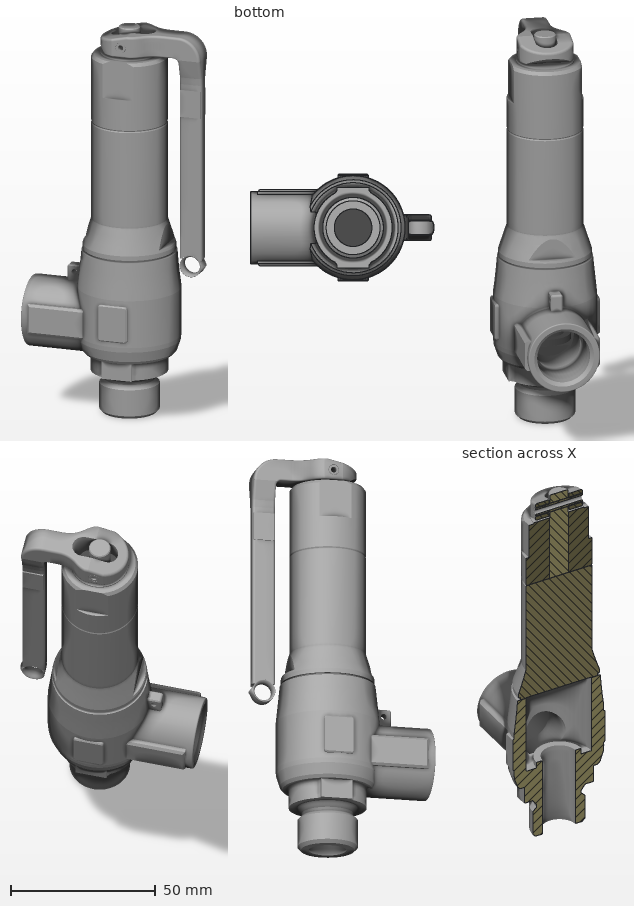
import cadquery as cq
import math


CUT_REACH = 60.0
MARGIN = 1.0
NEAR = 0.09

THREAD_R = 20.955 / 2
THREAD_MINOR_R = 18.63 / 2
THREAD_LEAD = THREAD_R - THREAD_MINOR_R
THREAD_TOP = 10.6
UNDERCUT_R = 9.0
UNDERCUT_TOP = 13.1
COLLAR_R = 13.5
COLLAR_FOOT_R = 10.5
COLLAR_BOTTOM = 15.1
BELLY_BOTTOM = 21.7
BELLY_FILLET = 0.8
BELLY_FOOT_R = 15.6
BELLY_CORNER_R = 16.6
BELLY_CORNER_Z = 22.8
BELLY_R = 18.0
BELLY_MID_Z = 28.3
BELLY_LOW_R = 17.85
BELLY_LOW_Z = 26.6
BELLY_HIGH_Z = 45.3
SHOULDER_R = 16.6
BODY_TOP = 58.6

INLET_BORE_R = 13.0 / 2
SEAT_R = 9.0
SEAT_TOP = 30.6
CAVITY_R = 13.0
CAVITY_FLOOR = BELLY_MID_Z

ARROW_PAD_FACE = 11.0
ARROW_PAD_ROOT = 13.0
ARROW_PAD_Y = 13.85
ARROW_PAD_ROOT_Y = 11.7
ARROW_PAD_EDGE_Y = 13.0

PLATE_WIDTH = 10.6
PLATE_BOTTOM = 30.1
PLATE_TOP = 43.3
PLATE_Y = 18.5
PLATE_CORNER = 1.0
PLATE_BEVEL = 0.45

OUTLET_Z = 33.0
OUTLET_R = 12.55
OUTLET_FACE_X = -35.5
OUTLET_RIM = 0.4
OUTLET_ROOT_FILLET = 0.6
OUTLET_MOUTH_R = 21.0 / 2
OUTLET_THREAD_DEPTH = 14.0
OUTLET_BORE_R = 16.5 / 2
SIDE_PAD_X = -33.0
SIDE_PAD_INNER_X = -12.5
SIDE_PAD_Y = 13.25
SIDE_PAD_BOTTOM = 28.1
SIDE_PAD_TOP = 38.9
SIDE_PAD_BEVEL = 0.8

SEAL_TAB_X = -22.1
SEAL_TAB_WIDTH = 4.0
SEAL_TAB_TOP = 51.3
SEAL_TAB_ROUND = 0.8
SEAL_HOLE_R = 1.0
SEAL_HOLE_X = -19.5
SEAL_HOLE_Z = 48.8

BONNET_NECK_R = 31.0 / 2
BONNET_FLANGE_R = 16.25
BONNET_FLANGE_BOTTOM = 59.4
BONNET_FLANGE_TOP = 61.0
CONE_TOP = 70.2
TUBE_R = 26.5 / 2
WRENCH_FLAT_X = 13.65
WRENCH_FLAT_Z = 61.8
JOINT_Z = 105.2
JOINT_R = 26.0 / 2
JOINT_BEVEL = 0.4

CAP_EDGE_Z = 128.7
CAP_RIM_R = 12.4
CAP_RIM_Z = 129.8
CAP_BOSS_R = 10.1
CAP_TOP = 130.2
CAP_FLAT_Y = 12.0
CAP_FLAT_BOTTOM = 116.5

SPINDLE_R = 7.5 / 2
SPINDLE_TOP = 139.57
SPINDLE_BEVEL = 0.35
PIN_R = 3.5 / 2
PIN_BORE_R = 2.0 / 2
PIN_HOLE_R = 3.7 / 2
PIN_Z = 134.3

HEAD_R = 10.0
HEAD_FLAT_Y = 9.45
NECK_R = 10.0
ARM_HALF = 4.5
LEVER_BOTTOM = 130.8
LEVER_TOP = 138.4
SLOPE_START_X = 2.1
HEAD_TIP_TOP = 135.7
HEAD_TIP_BOTTOM = 133.6
HEAD_UNDERCUT_X = -5.8
ARM_INNER_X = 19.1
ARM_OUTER_X = 27.1
BEND_R = ARM_OUTER_X - ARM_INNER_X
INNER_BEND_R = 1.7
TAPER_TOP = LEVER_TOP - BEND_R
TAPER_END_Z = 123.7
TAPER_END_HALF = 2.6
BAR_HALF = 2.3
BAR_START_Z = 121.2
LEVER_ROUND = 0.9
LEVER_UNDER_ROUND = 0.5
RING_X = 23.05
RING_Z = 55.3
RING_R = 4.95
RING_HOLE_R = 6.0 / 2
SLOT_HALF = 3.9
SLOT_LEFT = -6.4
SLOT_RIGHT_BOTTOM = 7.3
SLOT_RIGHT_TOP = 9.6
TAG_X0 = 19.5
TAG_X1 = 26.8
TAG_BOTTOM = 109.4
TAG_TOP = 119.1
TAG_HALF = 2.75


def box(x0, x1, y0, y1, z0, z1):
    """Axis-aligned block between two corners."""
    return cq.Workplane("XY").box(x1 - x0, y1 - y0, z1 - z0, centered=False).translate((x0, y0, z0))


def rod_z(radius, z0, z1):
    return cq.Workplane("XY").workplane(offset=z0).circle(radius).extrude(z1 - z0)


def rod_y(radius, x, z, half_length):
    """Cylinder along Y, symmetric about the XZ plane."""
    return cq.Workplane("XZ").center(x, z).circle(radius).extrude(half_length, both=True)


def rod_x(radius, x0, x1):
    """Cylinder on the outlet axis."""
    return cq.Workplane("YZ", origin=(x0, 0, OUTLET_Z)).circle(radius).extrude(x1 - x0)


def turned(points):
    """Solid of revolution about Z from (radius, z) points that start and end on the axis."""
    return cq.Workplane("XZ").polyline(points).close().revolve(360, (0, 0, 0), (0, 1, 0))


def both_sides(feature):
    """The feature together with its mirror image across the XZ plane."""
    return feature.union(feature.mirror("XZ"))


def body_shell():
    shell = turned([
        (0, 0),
        (THREAD_MINOR_R, 0),
        (THREAD_R, THREAD_LEAD),
        (THREAD_R, THREAD_TOP),
        (UNDERCUT_R, THREAD_TOP + THREAD_R - UNDERCUT_R),
        (UNDERCUT_R, UNDERCUT_TOP),
        (COLLAR_FOOT_R, COLLAR_BOTTOM),
        (COLLAR_R, COLLAR_BOTTOM),
        (COLLAR_R, BELLY_BOTTOM),
        (BELLY_FOOT_R, BELLY_BOTTOM),
        (BELLY_CORNER_R, BELLY_CORNER_Z),
        (BELLY_LOW_R, BELLY_LOW_Z),
        (BELLY_R, BELLY_MID_Z),
        (BELLY_R, BELLY_HIGH_Z),
        (SHOULDER_R, BODY_TOP),
        (0, BODY_TOP),
    ])
    collar_corner = cq.selectors.BoxSelector(
        (-BELLY_FOOT_R + BELLY_FILLET, -BELLY_FOOT_R + BELLY_FILLET, BELLY_BOTTOM - BELLY_FILLET),
        (BELLY_FOOT_R - BELLY_FILLET, BELLY_FOOT_R - BELLY_FILLET, BELLY_BOTTOM + BELLY_FILLET),
        boundingbox=True,
    )
    return shell.edges(collar_corner).fillet(BELLY_FILLET)


def arrow_pad():
    """Pad on the collar whose sides flare out toward the root."""
    outline = [
        (ARROW_PAD_FACE / 2, -ARROW_PAD_Y),
        (ARROW_PAD_FACE / 2, -ARROW_PAD_EDGE_Y),
        (ARROW_PAD_ROOT / 2, -ARROW_PAD_ROOT_Y),
    ]
    mirrored = [(-x, y) for x, y in reversed(outline)]
    plane = cq.Workplane("XY").workplane(offset=COLLAR_BOTTOM)
    return plane.polyline(outline + mirrored).close().extrude(BELLY_BOTTOM - COLLAR_BOTTOM)


def name_plate():
    """Raised rectangular plate on the belly with round corners and a bevelled face."""
    plate = box(-PLATE_WIDTH / 2, PLATE_WIDTH / 2, -PLATE_Y, -CAVITY_R - MARGIN, PLATE_BOTTOM, PLATE_TOP)
    return plate.edges("|Y").fillet(PLATE_CORNER).faces("<Y").chamfer(PLATE_BEVEL)


def outlet_branch():
    branch = rod_x(OUTLET_R, OUTLET_FACE_X, 0)
    return branch.faces("<X").edges().fillet(OUTLET_RIM)


def side_pad():
    pad = box(SIDE_PAD_X, SIDE_PAD_INNER_X, -SIDE_PAD_Y, 0, SIDE_PAD_BOTTOM, SIDE_PAD_TOP)
    return pad.faces("<Y").edges("|X or <X").chamfer(SIDE_PAD_BEVEL)


def seal_tab():
    """Small ear on top of the outlet branch for the sealing wire."""
    half = SEAL_TAB_WIDTH / 2
    tab = box(SEAL_TAB_X, -SHOULDER_R, -half, half, OUTLET_Z + OUTLET_R - MARGIN, SEAL_TAB_TOP)
    tab = tab.edges("|Y and <X and >Z").fillet(SEAL_TAB_ROUND)
    return tab.edges("<X or >Z").chamfer(SEAL_TAB_ROUND / 2)


def body_cavity():
    """Inner space above an upright seat, open to the inlet and at the top."""
    space = rod_z(CAVITY_R, CAVITY_FLOOR, BODY_TOP)
    seat = rod_z(SEAT_R, CAVITY_FLOOR, SEAT_TOP)
    return space.cut(seat).union(rod_z(INLET_BORE_R, 0, SEAT_TOP))


def outlet_bore():
    """Bevelled mouth, thread core and a narrower passage into the cavity."""
    passage = rod_x(OUTLET_BORE_R, OUTLET_FACE_X, -SEAT_R)
    core = rod_x(THREAD_MINOR_R, OUTLET_FACE_X, OUTLET_FACE_X + OUTLET_THREAD_DEPTH)
    mouth_depth = OUTLET_MOUTH_R - THREAD_MINOR_R
    mouth = cq.Solid.makeCone(
        OUTLET_MOUTH_R, THREAD_MINOR_R, mouth_depth, cq.Vector(OUTLET_FACE_X, 0, OUTLET_Z), cq.Vector(1, 0, 0)
    )
    return passage.union(core).union(cq.Workplane(mouth))


def make_body():
    body = body_shell().union(outlet_branch())
    outlet_root = cq.selectors.BoxSelector(
        (-BELLY_R - MARGIN, -OUTLET_R, OUTLET_Z), (-COLLAR_R, OUTLET_R, OUTLET_Z + OUTLET_R + MARGIN)
    )
    body = body.edges(outlet_root).fillet(OUTLET_ROOT_FILLET)
    body = body.union(both_sides(arrow_pad()))
    body = body.union(both_sides(name_plate()))
    body = body.union(both_sides(side_pad()))
    body = body.union(seal_tab())
    body = body.cut(body_cavity()).cut(outlet_bore())
    return body.cut(rod_y(SEAL_HOLE_R, SEAL_HOLE_X, SEAL_HOLE_Z, CUT_REACH))


def make_bonnet():
    bonnet = turned([
        (0, BODY_TOP),
        (BONNET_NECK_R, BODY_TOP),
        (BONNET_NECK_R, BONNET_FLANGE_BOTTOM),
        (BONNET_FLANGE_R, BONNET_FLANGE_BOTTOM),
        (BONNET_FLANGE_R, BONNET_FLANGE_TOP),
        (TUBE_R, CONE_TOP),
        (TUBE_R, JOINT_Z - JOINT_BEVEL),
        (JOINT_R, JOINT_Z),
        (0, JOINT_Z),
    ])
    for side in (-1, 1):
        x0, x1 = sorted((side * WRENCH_FLAT_X, side * CUT_REACH))
        bonnet = bonnet.cut(box(x0, x1, -CUT_REACH, CUT_REACH, WRENCH_FLAT_Z, CONE_TOP))
    return bonnet


def make_cap():
    cap = turned([
        (0, JOINT_Z),
        (JOINT_R, JOINT_Z),
        (TUBE_R, JOINT_Z + JOINT_BEVEL),
        (TUBE_R, CAP_EDGE_Z),
        (CAP_RIM_R, CAP_RIM_Z),
        (CAP_BOSS_R, CAP_RIM_Z),
        (CAP_BOSS_R, CAP_TOP),
        (0, CAP_TOP),
    ])
    flat = box(-CUT_REACH, CUT_REACH, -CUT_REACH, -CAP_FLAT_Y, CAP_FLAT_BOTTOM, CAP_TOP)
    return cap.cut(both_sides(flat)).cut(rod_z(SPINDLE_R, JOINT_Z, CAP_TOP))


def make_spindle():
    spindle = rod_z(SPINDLE_R, JOINT_Z, SPINDLE_TOP).faces(">Z").chamfer(SPINDLE_BEVEL)
    return spindle.cut(rod_y(PIN_R, 0, PIN_Z, CUT_REACH))


def make_cross_pin():
    return rod_y(PIN_R, 0, PIN_Z, HEAD_FLAT_Y).cut(rod_y(PIN_BORE_R, 0, PIN_Z, HEAD_FLAT_Y))


def lever_side_profile():
    """Hook seen along Y: sloped head, arm, bend and hanging bar."""
    return (
        cq.Workplane("XZ")
        .moveTo(-HEAD_R, HEAD_TIP_BOTTOM)
        .lineTo(HEAD_UNDERCUT_X, LEVER_BOTTOM)
        .lineTo(ARM_INNER_X - INNER_BEND_R, LEVER_BOTTOM)
        .radiusArc((ARM_INNER_X, LEVER_BOTTOM - INNER_BEND_R), INNER_BEND_R)
        .lineTo(ARM_INNER_X, RING_Z)
        .lineTo(ARM_OUTER_X, RING_Z)
        .lineTo(ARM_OUTER_X, LEVER_TOP - BEND_R)
        .radiusArc((ARM_INNER_X, LEVER_TOP), -BEND_R)
        .lineTo(SLOPE_START_X, LEVER_TOP)
        .lineTo(-HEAD_R, HEAD_TIP_TOP)
        .close().extrude(CUT_REACH, both=True)
    )


def lever_plan():
    """Plan shape: round head with two flats, running into the arm through hollow arcs."""
    flat_x = math.sqrt(HEAD_R**2 - HEAD_FLAT_Y**2)
    hollow_y = ARM_HALF + NECK_R
    hollow_x = math.sqrt((HEAD_R + NECK_R) ** 2 - hollow_y**2)
    share = HEAD_R / (HEAD_R + NECK_R)
    joint_x = hollow_x * share
    joint_y = hollow_y * share
    return (
        cq.Workplane("XY").workplane(offset=TAPER_TOP)
        .moveTo(ARM_OUTER_X, ARM_HALF)
        .lineTo(hollow_x, ARM_HALF)
        .radiusArc((joint_x, joint_y), NECK_R)
        .radiusArc((flat_x, HEAD_FLAT_Y), -HEAD_R)
        .lineTo(-flat_x, HEAD_FLAT_Y)
        .threePointArc((-HEAD_R, 0), (-flat_x, -HEAD_FLAT_Y))
        .lineTo(flat_x, -HEAD_FLAT_Y)
        .radiusArc((joint_x, -joint_y), -HEAD_R)
        .radiusArc((hollow_x, -ARM_HALF), NECK_R)
        .lineTo(ARM_OUTER_X, -ARM_HALF)
        .close().extrude(LEVER_TOP - TAPER_TOP)
    )


def lever_bar_width():
    """Width of the hanging bar along Y: tapered below the bend, then straight."""
    half = [
        (BAR_HALF, RING_Z),
        (BAR_HALF, BAR_START_Z),
        (TAPER_END_HALF, TAPER_END_Z),
        (ARM_HALF, TAPER_TOP),
    ]
    mirrored = [(-y, z) for y, z in reversed(half)]
    bar = cq.Workplane("YZ").polyline(half + mirrored).close().extrude(ARM_OUTER_X - HEAD_R)
    return bar.translate((HEAD_R, 0, 0))


def lever_slot():
    """Slot for the spindle; its outer end leans away from the spindle."""
    bottom_length = SLOT_RIGHT_BOTTOM - SLOT_LEFT
    top_length = SLOT_RIGHT_TOP - SLOT_LEFT
    return (
        cq.Workplane("XY", origin=(SLOT_LEFT + bottom_length / 2, 0, LEVER_BOTTOM))
        .slot2D(bottom_length, 2 * SLOT_HALF)
        .workplane(offset=LEVER_TOP - LEVER_BOTTOM)
        .center((top_length - bottom_length) / 2, 0)
        .slot2D(top_length, 2 * SLOT_HALF)
        .loft(ruled=True)
    )


def rim_edges(solid, low, high):
    """Edges centred between the (x, z) corners, without those along Y."""
    region = cq.selectors.BoxSelector((low[0], -HEAD_R, low[1]), (high[0], HEAD_R, high[1]))
    return solid.edges("not |Y").edges(region)


def lever_arm():
    """Head and arm with a rounded upper rim and a finer rounded lower rim."""
    arm = lever_side_profile().intersect(lever_plan())
    upper_low = (-HEAD_R, HEAD_TIP_TOP - LEVER_ROUND)
    arm = rim_edges(arm, upper_low, (ARM_OUTER_X, LEVER_TOP + MARGIN)).fillet(LEVER_ROUND)
    under_low = (HEAD_UNDERCUT_X, LEVER_BOTTOM - NEAR)
    under_high = (ARM_INNER_X, LEVER_BOTTOM + NEAR)
    return rim_edges(arm, under_low, under_high).fillet(LEVER_UNDER_ROUND)


def lever_bar():
    """Hanging bar with rounded long edges."""
    bar = lever_side_profile().intersect(lever_bar_width())
    bar = bar.faces(">X").edges("not |Y").fillet(LEVER_ROUND)
    inner_low = (ARM_INNER_X - NEAR, RING_Z)
    return rim_edges(bar, inner_low, (ARM_INNER_X + NEAR, TAPER_TOP)).fillet(LEVER_ROUND)


def lever_ring():
    """Pull ring with an oval section."""
    section_half = (RING_R - RING_HOLE_R) / 2
    middle_r = RING_R - section_half
    section = cq.Workplane("XY").center(middle_r, 0).ellipse(section_half, BAR_HALF)
    ring = section.revolve(360, (-middle_r, 0, 0), (-middle_r, 1, 0))
    return ring.translate((RING_X, 0, RING_Z))


def make_lever():
    lever = lever_arm().union(lever_bar())
    ring_middle_r = (RING_R + RING_HOLE_R) / 2
    lever = lever.cut(rod_y(ring_middle_r, RING_X, RING_Z, CUT_REACH)).union(lever_ring())
    lever = lever.union(box(TAG_X0, TAG_X1, -TAG_HALF, TAG_HALF, TAG_BOTTOM, TAG_TOP))
    return lever.cut(lever_slot()).cut(rod_y(PIN_HOLE_R, 0, PIN_Z, CUT_REACH))


body = make_body()
bonnet = make_bonnet()
cap = make_cap()
spindle = make_spindle()
cross_pin = make_cross_pin()
lever = make_lever()

result = cq.Compound.makeCompound([
    body.val(),
    bonnet.val(),
    cap.val(),
    spindle.val(),
    cross_pin.val(),
    lever.val(),
])